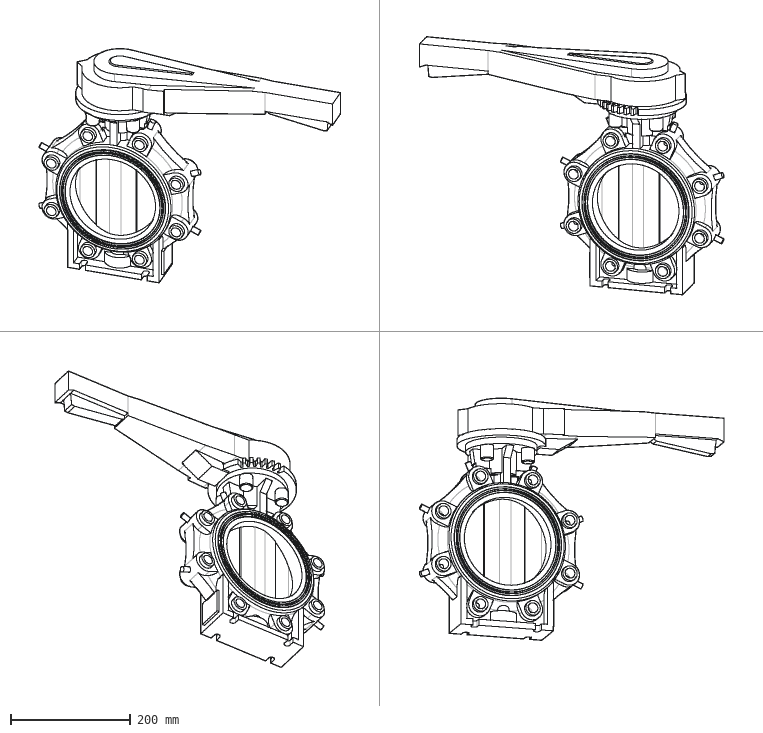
import cadquery as cq
import math


bore_radius = 76.0
flange_radius = 102.5
flange_half_width = 34.0
flange_chamfer = 3.0
face_half_width = 37.0
seal_half_width = 39.0
seal_inner_radius = 84.5
seal_outer_radius = 94.0
seal_groove_radius = 89.5
seal_groove_width = 2.5
web_half_thickness = 12.5
web_fillet = 12.5
web_side_distance = 125.0
web_side_end_distance = 129.5
web_side_half_length = 46.0

lug_count = 8
lug_circle_radius = 120.0
lug_radius = 19.0
lug_half_length = 25.5
lug_pitch = 360 / lug_count
insert_radius = 12.5
insert_bore_radius = 8.5
insert_half_length = 33.0
pin_radius = 5.0
pin_inner_end = lug_circle_radius - (insert_radius + insert_bore_radius) / 2
pin_outer_end = 153.0

bridge_half_length = 46.0
bridge_top = 130.5
bridge_bottom = 120.5
neck_radius = 25.5
neck_bottom = 122.0
stem_sleeve_radius = 16.5
neck_recess_half_length = 26.5
neck_recess_half_thickness = 6.5
cross_plate_half_thickness = 9.0
cross_plate_top_half = 53.0
cross_plate_mid_half = 49.0
cross_plate_foot_half = 47.0
cross_plate_mid = 139.0
rib_half_thickness = 6.5
rib_half_width = 34.0
rib_top_half_width = 52.0
rib_shoulder = 146.0
bolt_offset = 36.0
bolt_radius = 11.0
bolt_bottom = 139.5
bolt_edge = 1.5
collar_radius = 60.0
collar_bottom = 163.5

rack_radius = 74.5
rack_bottom = 174.5
rack_top = 185.5
tooth_root_radius = 64.5
gap_count = 7
gap_pitch = 9.7
first_gap_angle = 99.0
gap_root_half = 1.5
gap_tip_half = 4.0

base_half_length = 81.5
base_half_width = 34.0
base_top = -65.0
base_bottom = -148.5
base_wall = 10.5
base_slot_offset = 55.0
base_slot_radius = 5.5
base_slot_depth = 15.0
base_boss_radius = 26.5
base_boss_top = -118.0
pad_thickness = 4.0
pad_half_width = 22.0
pad_bottom = -138.0
pad_top = -93.0

disc_hub_half_width = 10.0
disc_hub_half_thickness = 24.0
disc_step = 36.5
disc_step_width = 1.5
disc_step_outer_half = 17.0
disc_step_inner_half = 18.5
disc_rim = 68.0
disc_rim_half = 8.5

head_radius = 64.0
head_bottom = 187.0
head_top = 231.5
head_nose_tip = -76.0
head_nose_half = 12.5
flank_half_width = 50.0
flank_pad_half_width = 52.0
flank_pad_start = 58.5
flank_end = 95.0
shoulder_start = 68.0
shoulder_half_width = 48.5
grip_start = 265.0
grip_end = 385.0
grip_half_width = 20.5
grip_bottom = 210.0
grip_lip_start = 374.0
grip_lip_bottom = 205.0
arm_top = 246.0
arm_foot = 190.0
arm_foot_end = 121.5
arm_mid = 194.5
arm_mid_bottom = 197.0
arm_end_bottom = 204.0
spine_radius = 44.0
spine_end = 243.0
spine_end_half = 12.0
crest_radius = 18.5
crest_end = 130.0
crest_end_half = 4.0
crest_height = 1.5
crest_draft = 55
trigger_half_width = 10.5
trigger_root = 269.5
trigger_root_bottom = 200.5
trigger_end_length = 6.5
trigger_end_rise = 1.0
trigger_tip_bottom = 185.5
trigger_tip = 365.5
hook_half_width = 21.0
hook_start = 61.5
hook_bottom = 170.0
hook_slope_end = 128.0
clearance = 0.5


def z_cylinder(radius, bottom, top, x=0, y=0):
    return cq.Workplane("XY", origin=(x, y, bottom)).circle(radius).extrude(top - bottom)


def y_cylinder(radius, half_length):
    return cq.Workplane("XZ").circle(radius).extrude(half_length, both=True)


def box(x_range, y_range, z_range):
    size = [high - low for low, high in (x_range, y_range, z_range)]
    corner = (x_range[0], y_range[0], z_range[0])
    return cq.Workplane("XY").box(*size, centered=False).translate(corner)


def mirrored_polygon(points):
    """Closed list made of points and their mirror image across the second axis."""
    return points + [(-u, v) for u, v in reversed(points)]


def turn_about_flow_axis(shape, angle):
    return shape.rotate((0, 0, 0), (0, 1, 0), -angle)


def polar_point(distance, offset, angle):
    """Point at a distance along a direction and an offset square to it."""
    turn = math.radians(angle)
    return (
        distance * math.cos(turn) - offset * math.sin(turn),
        distance * math.sin(turn) + offset * math.cos(turn),
    )


def lug_angles():
    return [lug_pitch * (i + 0.5) for i in range(lug_count)]


def lug_insert(angle, bored=True):
    bush = y_cylinder(insert_radius, insert_half_length)
    if bored:
        bush = bush.cut(y_cylinder(insert_bore_radius, insert_half_length))
    bush = bush.translate((lug_circle_radius, 0, 0))
    pin = cq.Workplane("YZ", origin=(pin_inner_end, 0, 0)).circle(pin_radius)
    pin = pin.extrude(pin_outer_end - pin_inner_end)
    return turn_about_flow_axis(bush.union(pin), angle)


def hub():
    """Turned ring, still without its bore, with a fillet down to the web on both sides."""
    groove_inner = seal_groove_radius - seal_groove_width / 2
    groove_outer = seal_groove_radius + seal_groove_width / 2
    fillet_end = web_half_thickness + web_fillet
    web_start = flange_radius + web_fillet
    bend = web_fillet * (1 - math.sqrt(0.5))
    half = (
        cq.Workplane("XY")
        .moveTo(0, 0)
        .lineTo(0, face_half_width)
        .lineTo(seal_inner_radius, face_half_width)
        .lineTo(seal_inner_radius, seal_half_width)
        .lineTo(groove_inner, seal_half_width)
        .lineTo(groove_inner, face_half_width)
        .lineTo(groove_outer, face_half_width)
        .lineTo(groove_outer, seal_half_width)
        .lineTo(seal_outer_radius, seal_half_width)
        .lineTo(seal_outer_radius, face_half_width)
        .lineTo(flange_radius - flange_chamfer, face_half_width)
        .lineTo(flange_radius, flange_half_width)
        .lineTo(flange_radius, fillet_end)
        .threePointArc((flange_radius + bend, web_half_thickness + bend), (web_start, web_half_thickness))
        .lineTo(web_start, 0)
        .close()
        .revolve(360, (0, 0), (0, 1))
    )
    return half.union(half.mirror("XZ"))


def web():
    """Plate between the lugs with eight bowed sides, joined by short straights inside the lugs."""
    outline = cq.Workplane("XZ")
    for i in range(lug_count):
        start, middle, end = [
            polar_point(distance, offset, i * lug_pitch)
            for distance, offset in (
                (web_side_end_distance, -web_side_half_length),
                (web_side_distance, 0),
                (web_side_end_distance, web_side_half_length),
            )
        ]
        outline = outline.lineTo(*start) if i else outline.moveTo(*start)
        outline = outline.threePointArc(middle, end)
    return outline.close().extrude(web_half_thickness, both=True)


def lug(angle):
    eye = y_cylinder(lug_radius, lug_half_length).translate((lug_circle_radius, 0, 0))
    root = flange_radius - lug_radius
    arm = box((root, lug_circle_radius), (-lug_half_length, lug_half_length), (-lug_radius, lug_radius))
    return turn_about_flow_axis(eye.union(arm), angle)


def neck_recesses():
    """Pockets in front of and behind the web, above the flange at the stem."""
    recess = box(
        (-neck_recess_half_length, neck_recess_half_length),
        (neck_recess_half_thickness, lug_half_length),
        (seal_outer_radius, web_side_distance),
    )
    recess = recess.union(recess.mirror("XZ"))
    return recess.cut(y_cylinder(flange_radius, lug_half_length))


def neck():
    bridge = box(
        (-bridge_half_length, bridge_half_length),
        (-web_half_thickness, web_half_thickness),
        (bridge_bottom, bridge_top),
    )
    cross_plate = (
        cq.Workplane("XZ")
        .polyline(mirrored_polygon([
            (cross_plate_foot_half, bridge_bottom),
            (cross_plate_foot_half, cross_plate_mid),
            (cross_plate_mid_half, cross_plate_mid),
            (cross_plate_top_half, collar_bottom),
        ]))
        .close()
        .extrude(cross_plate_half_thickness, both=True)
    )
    rib = (
        cq.Workplane("YZ")
        .polyline(mirrored_polygon([
            (rib_half_width, seal_outer_radius),
            (rib_half_width, rib_shoulder),
            (rib_top_half_width, collar_bottom),
        ]))
        .close()
        .extrude(rib_half_thickness, both=True)
    )
    shape = z_cylinder(neck_radius, neck_bottom, collar_bottom)
    shape = shape.union(z_cylinder(stem_sleeve_radius, seal_outer_radius, neck_bottom))
    shape = shape.union(bridge).union(cross_plate).union(rib)
    shape = shape.union(z_cylinder(collar_radius, collar_bottom, rack_bottom))
    for x in (-bolt_offset, bolt_offset):
        for y in (-bolt_offset, bolt_offset):
            bolt = z_cylinder(bolt_radius, bolt_bottom, collar_bottom, x, y)
            shape = shape.union(bolt.faces("<Z").edges().chamfer(bolt_edge))
    return shape


def rack_plate():
    plate = z_cylinder(rack_radius, rack_bottom, rack_top)
    gap = (
        cq.Workplane("XY", origin=(0, 0, rack_bottom))
        .polyline([
            (tooth_root_radius, -gap_root_half),
            (tooth_root_radius, gap_root_half),
            (rack_radius + clearance, gap_tip_half),
            (rack_radius + clearance, -gap_tip_half),
        ])
        .close()
        .extrude(rack_top - rack_bottom)
    )
    for i in range(gap_count):
        plate = plate.cut(gap.rotate((0, 0, 0), (0, 0, 1), first_gap_angle - i * gap_pitch))
    return plate


def base():
    """Foot with a pocket in front and behind, a bearing boss and slots in its floor."""
    floor = base_bottom + base_wall
    inside = base_half_length - base_wall
    slot_end = base_half_width - base_slot_depth + base_slot_radius
    foot = box(
        (-base_half_length, base_half_length),
        (-base_half_width, base_half_width),
        (base_bottom, base_top),
    )
    slot = box(
        (-base_slot_radius, base_slot_radius),
        (slot_end, base_half_width),
        (base_bottom, floor),
    )
    slot = slot.union(z_cylinder(base_slot_radius, base_bottom, floor, 0, slot_end))
    pocket = box((-inside, inside), (web_half_thickness, base_half_width), (floor, base_top))
    for x in (-base_slot_offset, base_slot_offset):
        pocket = pocket.union(slot.translate((x, 0, 0)))
    foot = foot.cut(pocket).cut(pocket.mirror("XZ"))
    foot = foot.union(z_cylinder(base_boss_radius, floor, base_boss_top))
    foot = foot.union(z_cylinder(stem_sleeve_radius, base_boss_top, -seal_outer_radius))
    pad = box(
        (base_half_length, base_half_length + pad_thickness),
        (-pad_half_width, pad_half_width),
        (pad_bottom, pad_top),
    )
    return foot.union(pad)


def disc():
    """Closed disc: a section thick at the turning axis, cut to the round bore."""
    half_section = mirrored_polygon([
        (bore_radius, 0),
        (bore_radius, disc_rim_half),
        (disc_rim, disc_rim_half),
        (disc_step, disc_step_outer_half),
        (disc_step - disc_step_width, disc_step_inner_half),
        (disc_hub_half_width, disc_hub_half_thickness),
    ])
    slab = cq.Workplane("XY").polyline(half_section).close().extrude(bore_radius, both=True)
    slab = slab.union(slab.mirror("XZ"))
    return slab.intersect(y_cylinder(bore_radius, face_half_width))


def valve_body():
    shape = hub().union(web()).cut(neck_recesses()).union(base()).union(neck()).union(rack_plate())
    for angle in lug_angles():
        shape = shape.union(lug(angle))
    shape = shape.cut(y_cylinder(bore_radius, seal_half_width))
    shape = shape.union(disc())
    for angle in lug_angles():
        shape = shape.cut(lug_insert(angle, bored=False))
    return shape


def tapered_outline(radius, end, end_half, bottom, top, draft=0):
    """Round end about the turning axis, with tangent sides narrowing towards +X."""
    tangent_angle = math.atan2(end_half, end) + math.acos(radius / math.hypot(end, end_half))
    start = (radius * math.cos(tangent_angle), radius * math.sin(tangent_angle))
    return (
        cq.Workplane("XY", origin=(0, 0, bottom))
        .moveTo(*start)
        .threePointArc((-radius, 0), (start[0], -start[1]))
        .lineTo(end, -end_half)
        .lineTo(end, end_half)
        .close()
        .extrude(top - bottom, taper=draft)
    )


def arm_plan():
    """Plan of the head, the tapering arm and the grip."""
    flank_start = math.sqrt(head_radius**2 - flank_half_width**2)
    nose_base = -math.sqrt(head_radius**2 - head_nose_half**2)
    taper = (shoulder_half_width - grip_half_width) / (grip_start - shoulder_start)
    diagonal = head_radius * math.sqrt(0.5)
    step_half_width = grip_half_width + taper * (grip_start - flank_end)
    return (
        cq.Workplane("XY", origin=(0, 0, head_bottom))
        .moveTo(flank_start, flank_half_width)
        .threePointArc((-diagonal, diagonal), (nose_base, head_nose_half))
        .lineTo(head_nose_tip, 0)
        .lineTo(nose_base, -head_nose_half)
        .threePointArc((-diagonal, -diagonal), (flank_start, -flank_half_width))
        .lineTo(flank_pad_start, -flank_half_width)
        .lineTo(flank_pad_start, -flank_pad_half_width)
        .lineTo(flank_end, -flank_pad_half_width)
        .lineTo(flank_end, -step_half_width)
        .lineTo(grip_start, -grip_half_width)
        .lineTo(grip_end, -grip_half_width)
        .lineTo(grip_end, grip_half_width)
        .lineTo(grip_start, grip_half_width)
        .lineTo(shoulder_start, shoulder_half_width)
        .close()
        .extrude(arm_top - head_bottom)
    )


def arm_side():
    """Side outline of the head, arm and grip, as a slab across the whole width."""
    return (
        cq.Workplane("XZ")
        .moveTo(head_nose_tip, head_bottom)
        .lineTo(head_radius, head_bottom)
        .lineTo(arm_foot_end, arm_foot)
        .threePointArc((arm_mid, arm_mid_bottom), (grip_start, arm_end_bottom))
        .lineTo(grip_start, grip_bottom)
        .lineTo(grip_lip_start, grip_bottom)
        .lineTo(grip_end, grip_lip_bottom)
        .lineTo(grip_end, arm_top)
        .lineTo(spine_end, arm_top)
        .lineTo(shoulder_start, head_top)
        .lineTo(head_nose_tip, head_top)
        .close()
        .extrude(rack_radius, both=True)
    )


def trigger():
    return (
        cq.Workplane("XZ")
        .polyline([
            (grip_start, grip_bottom),
            (grip_start, arm_end_bottom),
            (trigger_root, trigger_root_bottom),
            (trigger_tip, trigger_tip_bottom),
            (trigger_tip + trigger_end_length, trigger_tip_bottom + trigger_end_rise),
            (grip_lip_start, grip_bottom),
        ])
        .close()
        .extrude(trigger_half_width, both=True)
    )


def hook():
    """Lip that reaches round and under the edge of the toothed plate."""
    lip = (
        cq.Workplane("XZ")
        .polyline([
            (hook_start, hook_bottom),
            (flank_end, hook_bottom),
            (hook_slope_end, arm_foot),
            (hook_slope_end, grip_bottom),
            (hook_start, grip_bottom),
        ])
        .close()
        .extrude(hook_half_width, both=True)
    )
    lip = lip.cut(z_cylinder(rack_radius + clearance, rack_bottom - clearance, head_bottom))
    return lip.cut(z_cylinder(collar_radius + clearance, collar_bottom, rack_bottom))


def handle():
    shape = arm_plan().intersect(arm_side())
    shape = shape.union(tapered_outline(spine_radius, spine_end, spine_end_half, head_top, arm_top))
    crest_top = arm_top + crest_height
    crest = tapered_outline(crest_radius, crest_end, crest_end_half, arm_top, crest_top, crest_draft)
    return shape.union(crest).union(trigger()).union(hook())


valve = valve_body()
lever = handle()
inserts = [lug_insert(angle) for angle in lug_angles()]

result = cq.Compound.makeCompound([valve.val(), lever.val(), *[insert.val() for insert in inserts]])